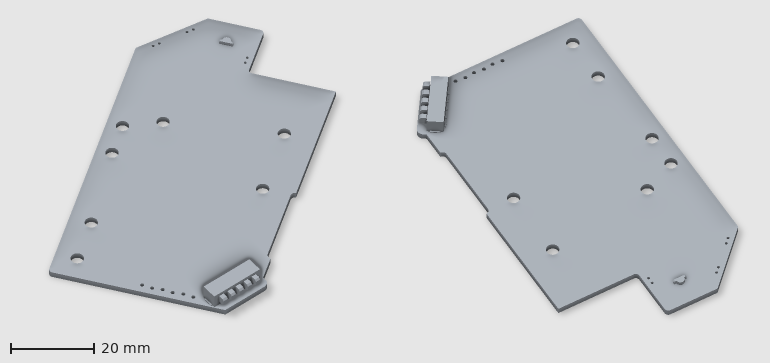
import cadquery as cq
import math

board_thickness = 1.6
board_height = 89.0
board_right = 50.1
corner_radius = 1.0

corner_cut = 14.0
step_x = 28.1
step_y = 75.0

notch_depth = 1.1
notch_bottom = 19.1
notch_top = 40.9

slope_angle = 55.0
slope_foot_x = 44.3
ear_base_y = 12.6
ear_radius = 1.6

mount_hole_diameter = 3.2
mount_hole_centers = [
    (42.0, 58.6),
    (42.0, 40.05),
    (13.0, 54.0),
    (4.0, 50.0),
    (4.0, 41.0),
    (5.5, 18.1),
    (5.5, 6.05),
]

pair_hole_diameter = 0.7
pair_hole_spacing = 1.7
hole_pairs = [
    (11.0, 84.0, 45.0),
    (4.45, 77.4, 45.0),
    (26.6, 78.7, 90.0),
]

header_hole_diameter = 1.0
header_hole_count = 6
header_pitch = 2.6
header_first_x = 22.9
header_y = 2.05
header_stagger = 0.13

sensor_center_x = 20.6
sensor_front_y = 82.0
sensor_length = 3.5
sensor_depth = 0.6
sensor_height = 1.0
sensor_chamfer = 0.3
dome_radius = 1.1

switch_center = (43.9, 7.1)
switch_length = 14.1
switch_width = 4.1
switch_height = 3.8
switch_ways = 5
switch_pitch = 2.5

lead_width = 1.0
lead_reach = 0.45
lead_thickness = 0.3
end_tab_width = 2.5
end_tab_reach = 0.4

knob_width = 1.3
knob_height = 2.0
knob_reach = 1.9
knob_gap = 0.2
knob_tip_bevel = 0.45
knob_center_height = 2.2
stem_size = 0.7


def ear_corner():
    """Sharp corner of the ear, where its upper edge meets the sloped edge at a right angle."""
    slope = math.radians(slope_angle)
    along = (math.cos(slope), math.sin(slope))
    distance = (board_right - slope_foot_x) * along[0] + ear_base_y * along[1]
    return (slope_foot_x + distance * along[0], distance * along[1])


def board_outline():
    """Closed outline of the board, with sharp corners where fillets are added later."""
    notch_x = board_right - notch_depth
    bulge = notch_depth * (1 - math.sqrt(0.5))
    return (
        cq.Workplane("XY")
        .moveTo(0, 0)
        .lineTo(slope_foot_x, 0)
        .lineTo(*ear_corner())
        .lineTo(board_right, ear_base_y)
        .lineTo(board_right, notch_bottom)
        .threePointArc(
            (notch_x + bulge, notch_bottom + bulge),
            (notch_x, notch_bottom + notch_depth),
        )
        .lineTo(notch_x, notch_top - notch_depth)
        .threePointArc((notch_x + bulge, notch_top - bulge), (board_right, notch_top))
        .lineTo(board_right, step_y)
        .lineTo(step_x, step_y)
        .lineTo(step_x, board_height)
        .lineTo(corner_cut, board_height)
        .lineTo(0, board_height - corner_cut)
        .close()
    )


def upright_edge_at(x, y):
    """Selector for the board's vertical edge nearest to (x, y)."""
    return cq.selectors.NearestToPointSelector((x, y, board_thickness / 2))


def pair_hole_centers():
    centers = []
    for x, y, angle in hole_pairs:
        dx = pair_hole_spacing / 2 * math.cos(math.radians(angle))
        dy = pair_hole_spacing / 2 * math.sin(math.radians(angle))
        centers += [(x - dx, y - dy), (x + dx, y + dy)]
    return centers


def header_hole_centers():
    return [
        (header_first_x + i * header_pitch, header_y + header_stagger * (-1) ** i)
        for i in range(header_hole_count)
    ]


def drill(body, centers, diameter):
    holes = cq.Workplane("XY").pushPoints(centers).circle(diameter / 2).extrude(board_thickness)
    return body.cut(holes)


def make_board():
    body = board_outline().extrude(board_thickness)
    for corner in [(0, 0), (step_x, step_y), (step_x, board_height)]:
        body = body.edges("|Z").edges(upright_edge_at(*corner)).fillet(corner_radius)
    body = body.edges("|Z").edges(upright_edge_at(*ear_corner())).fillet(ear_radius)
    body = drill(body, mount_hole_centers, mount_hole_diameter)
    body = drill(body, pair_hole_centers(), pair_hole_diameter)
    return drill(body, header_hole_centers(), header_hole_diameter)


def make_sensor():
    """Bar with a half-round dome on its +Y side, standing on the board."""
    bar = (
        cq.Workplane("XY")
        .box(sensor_length, sensor_depth, sensor_height, centered=(True, False, False))
        .edges("|Y and >Z")
        .chamfer(sensor_chamfer)
    )
    dome = (
        cq.Workplane("XY")
        .moveTo(-dome_radius, sensor_depth)
        .threePointArc((0, sensor_depth + dome_radius), (dome_radius, sensor_depth))
        .close()
        .extrude(sensor_height)
    )
    return bar.union(dome).translate((sensor_center_x, sensor_front_y, board_thickness))


def make_knob():
    """Slide knob reaching out in -Y: a slim stem and a head with a bevelled tip."""
    head_depth = knob_reach - knob_gap
    head = (
        cq.Workplane("XY")
        .box(knob_width, head_depth, knob_height)
        .edges("|X and <Y")
        .chamfer(knob_tip_bevel)
        .translate((0, -knob_gap - head_depth / 2, 0))
    )
    stem = (
        cq.Workplane("XY")
        .box(stem_size, knob_gap, stem_size)
        .translate((0, -knob_gap / 2, 0))
    )
    return head.union(stem).translate((0, -switch_width / 2, knob_center_height))


def make_switch():
    """Switch block, modelled along X with its knobs on -Y, then turned onto the board."""
    on_base = (True, True, False)
    body = cq.Workplane("XY").box(switch_length, switch_width, switch_height, centered=on_base)
    end_tabs = cq.Workplane("XY").box(
        switch_length + 2 * end_tab_reach, end_tab_width, lead_thickness, centered=on_base
    )
    body = body.union(end_tabs)
    lead = (
        cq.Workplane("XY")
        .box(lead_width, lead_reach, lead_thickness, centered=on_base)
        .translate((0, (switch_width + lead_reach) / 2, 0))
    )
    knob = make_knob()
    for i in range(switch_ways):
        x = (i - (switch_ways - 1) / 2) * switch_pitch
        body = body.union(lead.translate((x, 0, 0))).union(knob.translate((x, 0, 0)))
    return body.rotate((0, 0, 0), (0, 0, 1), slope_angle).translate((*switch_center, board_thickness))


board = make_board()
sensor = make_sensor()
switch = make_switch()

result = cq.Compound.makeCompound([board.val(), sensor.val(), switch.val()])